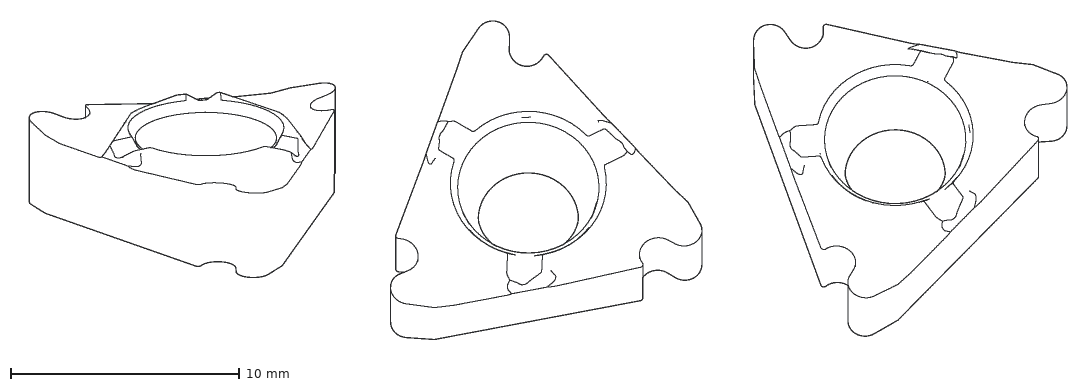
import cadquery as cq
import math

CORNERS = 3
REACH = 11.15
CUT_CLEARANCE = 0.14

EDGE_DISTANCE = 4.77
SHOULDER_Y = 5.17
NOSE_RADIUS = 0.75
NOSE_CENTRE = (-3.71, 6.15)
NOTCH_RADIUS = 0.8
NOTCH_CENTRE = (-2.1, 6.16)
HORN_RADIUS = 0.14

FLOOR_HEIGHT = 3.51
TOP_HEIGHT = 4.1

RAKE_START = 4.3
RAKE_ANGLE = 10.0
VALLEY_RADIUS = 0.35

WALL_DRAFT = 30.0
WALL_FOOT_RADIUS = 0.32
WALL_BROW_RADIUS = 0.08
LONG_WALL_DISTANCE = 3.74
SLANT_WALL_DISTANCE = 3.6
SLANT_WALL_TURN = 31.0
END_WALL_DISTANCE = 4.24
END_WALL_TURN = 90.0
END_WALL_DRAFT = 20.0
END_FOOT_RADIUS = 0.25
END_LEDGE_HEIGHT = 3.58

GROOVE_TURN = 76.0
GROOVE_FLOOR = 3.62
GROOVE_FLAT_HALF = 0.04
GROOVE_WALL_ANGLE = 37.0
GROOVE_CORNER_RADIUS = 0.28
GROOVE_START = 2.79
GROOVE_END = 5.02

RIM_RADIUS = 3.42
RIM_FOOT_RADIUS = 3.29
RIM_FOOT_HEIGHT = 3.74
RIM_CORNER_RADIUS = 0.13
LEDGE_RADIUS = 3.1
LEDGE_HEIGHT = 3.62
LEDGE_HOLLOW = 0.03
HEAD_RADIUS = 2.97
HEAD_DEPTH = 0.93
SEAT_START_RADIUS = 2.83
SEAT_START_ANGLE = 35.5
SEAT_BLEND_DEPTH = 0.32
HOLE_RADIUS = 2.19


def polar(centre, radius, degrees):
    angle = math.radians(degrees)
    return (centre[0] + radius * math.cos(angle), centre[1] + radius * math.sin(angle))


def bearing(start, end):
    return math.degrees(math.atan2(end[1] - start[1], end[0] - start[0]))


def turned(point, degrees):
    return polar((0, 0), math.hypot(*point), bearing((0, 0), point) + degrees)


def corner_turns():
    return [360.0 / CORNERS * index for index in range(CORNERS)]


def repeated(shape):
    """Union of one copy of the shape for every corner."""
    copies = [shape.rotate((0, 0, 0), (0, 0, 1), turn) for turn in corner_turns()]
    joined = copies[0]
    for copy in copies[1:]:
        joined = joined.union(copy)
    return joined


def corner_path():
    """Start point and (middle, end) steps of one corner; a line has no middle."""
    shoulder = (-EDGE_DISTANCE, SHOULDER_Y)

    to_nose = math.dist(shoulder, NOSE_CENTRE)
    nose_start_angle = bearing(NOSE_CENTRE, shoulder) % 360
    nose_start_angle -= math.degrees(math.acos(NOSE_RADIUS / to_nose))

    spacing = math.dist(NOSE_CENTRE, NOTCH_CENTRE)
    cross_angle = bearing(NOSE_CENTRE, NOTCH_CENTRE)
    cross_angle += math.degrees(math.acos((NOSE_RADIUS + NOTCH_RADIUS) / spacing))
    notch_start_angle = cross_angle + 180

    side_angle = 180 - 360 / CORNERS
    normal = polar((0, 0), 1, side_angle)
    along = polar((0, 0), 1, side_angle - 90)
    notch_offset = NOTCH_CENTRE[0] * normal[0] + NOTCH_CENTRE[1] * normal[1]
    across_step = EDGE_DISTANCE - HORN_RADIUS - notch_offset
    along_step = math.sqrt((NOTCH_RADIUS + HORN_RADIUS) ** 2 - across_step ** 2)
    horn_centre = (
        NOTCH_CENTRE[0] + across_step * normal[0] + along_step * along[0],
        NOTCH_CENTRE[1] + across_step * normal[1] + along_step * along[1],
    )
    notch_end_angle = bearing(NOTCH_CENTRE, horn_centre) + 360
    horn_start_angle = notch_end_angle - 180

    steps = [
        (None, polar(NOSE_CENTRE, NOSE_RADIUS, nose_start_angle)),
        (
            polar(NOSE_CENTRE, NOSE_RADIUS, (nose_start_angle + cross_angle) / 2),
            polar(NOSE_CENTRE, NOSE_RADIUS, cross_angle),
        ),
        (None, polar(NOTCH_CENTRE, NOTCH_RADIUS, notch_start_angle)),
        (
            polar(NOTCH_CENTRE, NOTCH_RADIUS, (notch_start_angle + notch_end_angle) / 2),
            polar(NOTCH_CENTRE, NOTCH_RADIUS, notch_end_angle),
        ),
        (
            polar(horn_centre, HORN_RADIUS, (horn_start_angle + side_angle) / 2),
            polar(horn_centre, HORN_RADIUS, side_angle),
        ),
    ]
    return shoulder, steps


def insert_blank():
    shoulder, steps = corner_path()
    outline = cq.Workplane("XY").moveTo(*shoulder)
    for turn in corner_turns():
        if turn > 0:
            outline = outline.lineTo(*turned(shoulder, -turn))
        for middle, end in steps:
            if middle is None:
                outline = outline.lineTo(*turned(end, -turn))
            else:
                outline = outline.threePointArc(turned(middle, -turn), turned(end, -turn))
    return outline.close().extrude(TOP_HEIGHT)


def rake_wedge():
    slope = math.radians(RAKE_ANGLE)
    tangent = VALLEY_RADIUS * math.tan(slope / 2)
    valley_start = RAKE_START - tangent
    valley_middle = (
        valley_start + VALLEY_RADIUS * math.sin(slope / 2),
        FLOOR_HEIGHT + VALLEY_RADIUS * (1 - math.cos(slope / 2)),
    )
    valley_end = (
        RAKE_START + tangent * math.cos(slope),
        FLOOR_HEIGHT + tangent * math.sin(slope),
    )
    far_height = FLOOR_HEIGHT + (REACH - RAKE_START) * math.tan(slope)
    return (
        cq.Workplane("YZ")
        .moveTo(valley_start, 0)
        .lineTo(valley_start, FLOOR_HEIGHT)
        .threePointArc(valley_middle, valley_end)
        .lineTo(REACH, far_height)
        .lineTo(REACH, 0)
        .close()
        .extrude(REACH, both=True)
    )


def wall_section(
    inner,
    top_distance,
    foot_height=FLOOR_HEIGHT,
    draft=WALL_DRAFT,
    foot_radius=WALL_FOOT_RADIUS,
):
    """Flat top, rounded brow, drafted wall, foot round and a land running outwards."""
    lean = math.radians(draft)
    turn = math.pi / 2 - lean

    brow_tangent = WALL_BROW_RADIUS * math.tan(turn / 2)
    brow_start = top_distance - brow_tangent
    brow_middle = (
        brow_start + WALL_BROW_RADIUS * math.sin(turn / 2),
        TOP_HEIGHT - WALL_BROW_RADIUS * (1 - math.cos(turn / 2)),
    )
    brow_end = (
        top_distance + brow_tangent * math.sin(lean),
        TOP_HEIGHT - brow_tangent * math.cos(lean),
    )

    foot_tangent = foot_radius * math.tan(turn / 2)
    foot = top_distance + (TOP_HEIGHT - foot_height) * math.tan(lean)
    foot_start = (foot - foot_tangent * math.sin(lean), foot_height + foot_tangent * math.cos(lean))
    foot_end = foot + foot_tangent
    foot_middle = (
        foot_end - foot_radius * math.sin(turn / 2),
        foot_height + foot_radius * (1 - math.cos(turn / 2)),
    )
    return (
        cq.Workplane("YZ")
        .moveTo(inner, 0)
        .lineTo(inner, TOP_HEIGHT)
        .lineTo(brow_start, TOP_HEIGHT)
        .threePointArc(brow_middle, brow_end)
        .lineTo(*foot_start)
        .threePointArc(foot_middle, (foot_end, foot_height))
        .lineTo(REACH, foot_height)
        .lineTo(REACH, 0)
        .close()
    )


def straight_wall(section, turn):
    """Everything behind one straight boss wall; unturned, the wall faces +Y."""
    return section.extrude(REACH, both=True).rotate((0, 0, 0), (0, 0, 1), turn)


def long_wall():
    """Straight on the +X side, then curving round the bore up to the slanted wall."""
    straight = wall_section(-REACH, LONG_WALL_DISTANCE).extrude(REACH)
    curved = (
        wall_section(0, LONG_WALL_DISTANCE)
        .revolve(SLANT_WALL_TURN, (0, 0, 0), (0, 1, 0))
    )
    behind = (
        cq.Workplane("YZ")
        .rect(REACH, TOP_HEIGHT, centered=False)
        .revolve(180 - SLANT_WALL_TURN, (0, 0, 0), (0, 1, 0))
        .rotate((0, 0, 0), (0, 0, 1), SLANT_WALL_TURN)
    )
    return straight.union(curved).union(behind)


def boss():
    slant_section = wall_section(-REACH, SLANT_WALL_DISTANCE)
    end_section = wall_section(
        -REACH, END_WALL_DISTANCE, END_LEDGE_HEIGHT, END_WALL_DRAFT, END_FOOT_RADIUS
    )
    walls = [
        straight_wall(slant_section, SLANT_WALL_TURN),
        straight_wall(end_section, END_WALL_TURN),
        long_wall(),
    ]
    shape = insert_blank()
    for turn in corner_turns():
        for wall in walls:
            shape = shape.intersect(wall.rotate((0, 0, 0), (0, 0, 1), turn))
    return shape


def chip_groove():
    slope = math.radians(GROOVE_WALL_ANGLE)
    tangent = GROOVE_CORNER_RADIUS * math.tan(slope / 2)
    round_middle = (
        GROOVE_FLAT_HALF + GROOVE_CORNER_RADIUS * math.sin(slope / 2),
        GROOVE_FLOOR + GROOVE_CORNER_RADIUS * (1 - math.cos(slope / 2)),
    )
    round_end = (
        GROOVE_FLAT_HALF + GROOVE_CORNER_RADIUS * math.sin(slope),
        GROOVE_FLOOR + tangent * math.sin(slope),
    )
    open_height = TOP_HEIGHT + CUT_CLEARANCE
    open_half = round_end[0] + (open_height - round_end[1]) / math.tan(slope)
    groove = (
        cq.Workplane("XZ", origin=(0, GROOVE_START, 0))
        .moveTo(0, GROOVE_FLOOR)
        .lineTo(GROOVE_FLAT_HALF, GROOVE_FLOOR)
        .threePointArc(round_middle, round_end)
        .lineTo(open_half, open_height)
        .lineTo(0, open_height)
        .mirrorY()
        .extrude(GROOVE_START - GROOVE_END)
    )
    return groove.rotate((0, 0, 0), (0, 0, 1), GROOVE_TURN)


def screw_bore():
    head_bottom = LEDGE_HEIGHT - HEAD_DEPTH
    seat_start = head_bottom - SEAT_BLEND_DEPTH
    seat_angle = math.radians(SEAT_START_ANGLE)
    seat_radius = (SEAT_START_RADIUS - HOLE_RADIUS) / (1 - math.cos(seat_angle))
    seat_end = seat_start - seat_radius * math.sin(seat_angle)
    seat_middle = (
        HOLE_RADIUS + seat_radius * (1 - math.cos(seat_angle / 2)),
        seat_end + seat_radius * math.sin(seat_angle / 2),
    )
    ledge_middle = (
        (LEDGE_RADIUS + RIM_FOOT_RADIUS) / 2 + LEDGE_HOLLOW,
        (LEDGE_HEIGHT + RIM_FOOT_HEIGHT) / 2 - LEDGE_HOLLOW,
    )
    return (
        cq.Workplane("XZ")
        .lineTo(HOLE_RADIUS, 0)
        .lineTo(HOLE_RADIUS, seat_end)
        .threePointArc(seat_middle, (SEAT_START_RADIUS, seat_start))
        .tangentArcPoint((HEAD_RADIUS, head_bottom), relative=False)
        .lineTo(LEDGE_RADIUS, LEDGE_HEIGHT)
        .threePointArc(ledge_middle, (RIM_FOOT_RADIUS, RIM_FOOT_HEIGHT))
        .lineTo(RIM_RADIUS, TOP_HEIGHT)
        .lineTo(0, TOP_HEIGHT)
        .close()
        .revolve(360, (0, 0, 0), (0, 1, 0))
    )


def round_rim_corners(body):
    """Round the edges where the groove walls break through the rim of the bore."""
    corners = []
    for edge in body.edges("%ELLIPSE").vals():
        centre = edge.Center()
        in_rim = math.hypot(centre.x, centre.y) < RIM_RADIUS
        if in_rim and centre.z > RIM_FOOT_HEIGHT:
            corners.append(edge)
    return body.newObject(corners).fillet(RIM_CORNER_RADIUS)


rakes = insert_blank().intersect(repeated(rake_wedge()))
grooved = boss().union(rakes).cut(screw_bore()).cut(repeated(chip_groove()))
result = round_rim_corners(grooved)